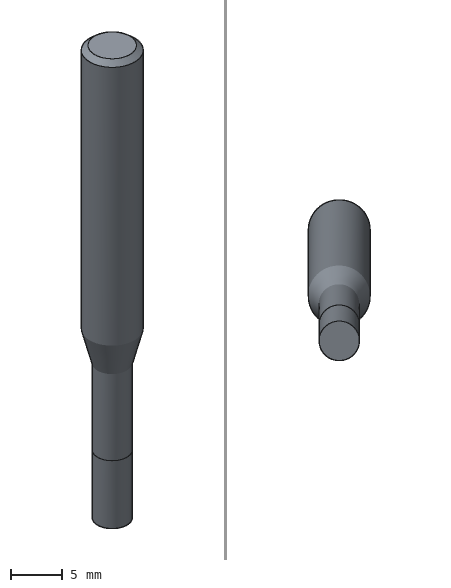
import cadquery as cq

TOTAL_LENGTH = 55.0
SHANK_DIAMETER = 6.0
NECK_DIAMETER = 3.9

CUTTER_LENGTH = 7.9
NECK_TOP = 18.0
TAPER_TOP = 22.0

CHAMFER_WIDTH = 0.65
CHAMFER_HEIGHT = 0.55


def make_cutter():
    """Plain cylindrical cutting end."""
    return cq.Workplane("XY").circle(NECK_DIAMETER / 2).extrude(CUTTER_LENGTH)


def make_shank():
    """Neck, conical transition and chamfered shank, revolved about Z."""
    shank_radius = SHANK_DIAMETER / 2
    neck_radius = NECK_DIAMETER / 2
    half_profile = (
        cq.Workplane("XZ")
        .moveTo(0, CUTTER_LENGTH)
        .lineTo(neck_radius, CUTTER_LENGTH)
        .lineTo(neck_radius, NECK_TOP)
        .lineTo(shank_radius, TAPER_TOP)
        .lineTo(shank_radius, TOTAL_LENGTH - CHAMFER_HEIGHT)
        .lineTo(shank_radius - CHAMFER_WIDTH, TOTAL_LENGTH)
        .lineTo(0, TOTAL_LENGTH)
        .close()
    )
    return half_profile.revolve(360, (0, 0, 0), (0, 1, 0))


cutter = make_cutter()
shank = make_shank()

result = cq.Compound.makeCompound([cutter.val(), shank.val()])